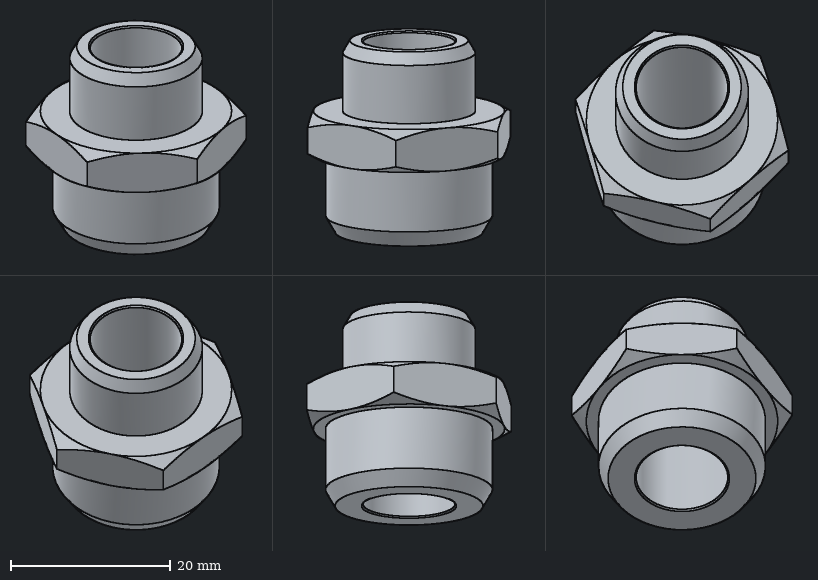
import cadquery as cq
import math

hex_sides = 6
hex_across_flats = 24.0
hex_height = 5.5
upper_length = 9.0
lower_length = 10.0

upper_diameter = 16.66
upper_chamfer_depth = 0.9
lower_diameter = 20.95
lower_chamfer_depth = 1.2
end_chamfer_angle = 30.0

bore_diameter = 11.5
bore_edge_break = 0.2

hex_chamfer_angle = 30.0

hex_bottom = lower_length
hex_top = hex_bottom + hex_height
total_height = hex_top + upper_length
hex_across_corners = hex_across_flats / math.cos(math.radians(180 / hex_sides))


def revolve_profile(points):
    """Revolve a closed (radius, Z) outline around the Z axis."""
    return cq.Workplane("XZ").polyline(points).close().revolve(360, (0, 0, 0), (0, 1, 0))


def end_chamfer_length(radial_depth):
    """Axial length of an end chamfer of the given radial depth."""
    return radial_depth / math.tan(math.radians(end_chamfer_angle))


def make_hexagon():
    """Hexagon with corners on the X axis, its corners cut by a cone at both faces."""
    prism = (
        cq.Workplane("XY", origin=(0, 0, hex_bottom))
        .polygon(hex_sides, hex_across_corners)
        .extrude(hex_height)
    )
    flat_radius = hex_across_flats / 2
    corner_radius = hex_across_corners / 2
    chamfer_drop = (corner_radius - flat_radius) * math.tan(math.radians(hex_chamfer_angle))
    envelope = revolve_profile([
        (0, hex_bottom),
        (flat_radius, hex_bottom),
        (corner_radius, hex_bottom + chamfer_drop),
        (corner_radius, hex_top - chamfer_drop),
        (flat_radius, hex_top),
        (0, hex_top),
    ])
    return prism.intersect(envelope)


def make_threaded_ends():
    """Both cylindrical ends as one turned body."""
    upper_radius = upper_diameter / 2
    lower_radius = lower_diameter / 2
    return revolve_profile([
        (0, 0),
        (lower_radius - lower_chamfer_depth, 0),
        (lower_radius, end_chamfer_length(lower_chamfer_depth)),
        (lower_radius, hex_bottom),
        (upper_radius, hex_bottom),
        (upper_radius, total_height - end_chamfer_length(upper_chamfer_depth)),
        (upper_radius - upper_chamfer_depth, total_height),
        (0, total_height),
    ])


def make_bore():
    """Through bore, widened by the edge break at both ends."""
    bore_radius = bore_diameter / 2
    return revolve_profile([
        (0, 0),
        (bore_radius + bore_edge_break, 0),
        (bore_radius, bore_edge_break),
        (bore_radius, total_height - bore_edge_break),
        (bore_radius + bore_edge_break, total_height),
        (0, total_height),
    ])


result = make_hexagon().union(make_threaded_ends()).cut(make_bore())